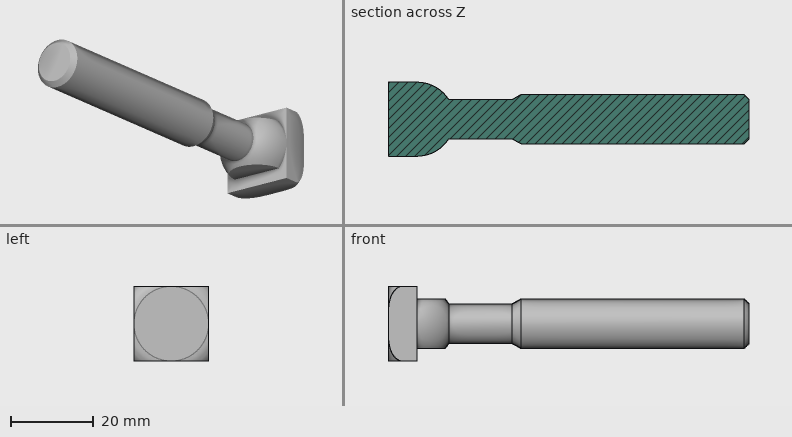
import cadquery as cq

total_length = 87.0
head_width = 18.0
head_thickness = 7.0
head_corner_radius = 3.8

collar_radius = head_width / 2

neck_diameter = 9.6
shank_diameter = 12.0
shank_length = 55.0
shoulder_length = 2.2
end_chamfer = 1.2

shank_start = total_length - shank_length
shoulder_start = shank_start - shoulder_length


def make_head():
    """Square plate whose front corners are rounded by a disc with a filleted rim."""
    plate = cq.Workplane("YZ").rect(head_width, head_width).extrude(head_thickness)
    disc_radius = head_width / 2 + head_corner_radius
    disc = (
        cq.Workplane("YZ")
        .circle(disc_radius)
        .extrude(head_thickness)
        .faces("<X")
        .edges()
        .fillet(head_corner_radius)
    )
    return plate.intersect(disc)


def make_collar():
    """Half ball centred on the back of the head, cut to the shank diameter in Z."""
    ball = cq.Workplane("XY").sphere(collar_radius).translate((head_thickness, 0, 0))
    slab = (
        cq.Workplane("XY")
        .box(collar_radius, head_width, shank_diameter, centered=(False, True, True))
        .translate((head_thickness, 0, 0))
    )
    return ball.intersect(slab)


def make_shaft():
    """Neck, conical shoulder and shank with a chamfered end, turned about X."""
    neck_radius = neck_diameter / 2
    shank_radius = shank_diameter / 2
    return (
        cq.Workplane("XY")
        .moveTo(head_thickness, 0)
        .lineTo(head_thickness, neck_radius)
        .lineTo(shoulder_start, neck_radius)
        .lineTo(shank_start, shank_radius)
        .lineTo(total_length - end_chamfer, shank_radius)
        .lineTo(total_length, shank_radius - end_chamfer)
        .lineTo(total_length, 0)
        .close()
        .revolve(360, (0, 0, 0), (1, 0, 0))
    )


result = make_head().union(make_collar()).union(make_shaft())